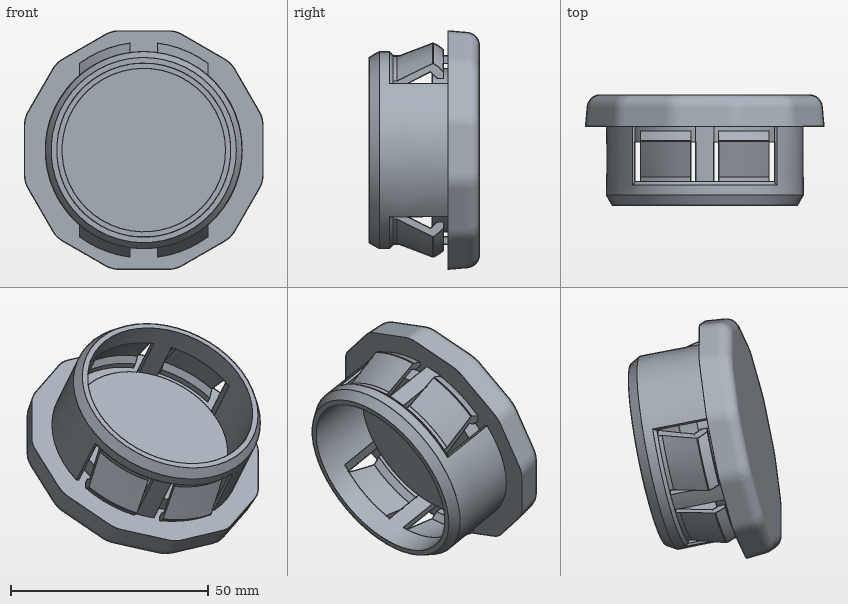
import cadquery as cq
import math


flange_width = 60.5
flange_thickness = 8.0
flange_sides = 12
flange_corner_radius = 7.0
flange_draft = 5.0
flange_edge_radius = 3.4

barrel_length = 20.0
barrel_diameter = 50.0
barrel_root_diameter = 49.85
mouth_diameter = 46.95
mouth_chamfer_length = 2.6
bore_diameter = 44.1

disc_diameter = 41.45
disc_height = 4.0

window_half_width = 17.7
window_length = 14.0
window_chamfer = 0.9

recessed_radius = 23.95
rib_width = 4.65
arm_near_side = 3.5
arm_far_side = 16.35
arm_root_length = 1.1
crest_radius = 27.35
crest_start = 3.65
crest_end = 3.9
tip_gap = 1.15
tip_outer_radius = 25.7
tip_inner_radius = 24.45
tip_thickness = 1.6
tip_facets = 4
tip_crown = 0.09
elbow_position = 4.5
elbow_radius = 25.65

bore_radius = bore_diameter / 2


def revolve_profile(points):
    """Turn a closed (radius, y) outline about the Y axis."""
    return cq.Workplane("XY").polyline(points).close().revolve(360, (0, 0, 0), (0, 1, 0))


def slab(x_min, x_max, length):
    """Block between two X planes, running from Y = 0 to -length and past the part in Z."""
    return cq.Workplane("XY").box(
        x_max - x_min, length, flange_width, centered=(False, False, True)
    ).translate((x_min, -length, 0))


def make_flange():
    corner_diameter = flange_width / math.cos(math.pi / flange_sides)
    half_step = 180 / flange_sides
    blank = (
        cq.Workplane("XZ")
        .transformed(rotate=(0, 0, half_step))
        .polygon(flange_sides, corner_diameter)
        .extrude(-flange_thickness, taper=flange_draft)
    )
    rounded = blank.edges("not #Y").fillet(flange_corner_radius)
    return rounded.faces(">Y").edges().fillet(flange_edge_radius)


def make_barrel():
    tube = revolve_profile([
        (bore_radius, 0),
        (barrel_root_diameter / 2, 0),
        (barrel_diameter / 2, mouth_chamfer_length - barrel_length),
        (mouth_diameter / 2, -barrel_length),
        (bore_radius, -barrel_length),
    ])
    tube = tube.cut(slab(-window_half_width, window_half_width, window_length))
    around_windows = cq.selectors.BoxSelector(
        (-bore_radius, -window_length - window_chamfer, -flange_width),
        (bore_radius, -window_chamfer, flange_width),
    )
    return tube.faces("%CONE").edges(around_windows).chamfer(window_chamfer)


def make_ribs():
    ring = revolve_profile([
        (bore_radius, 0),
        (recessed_radius, 0),
        (recessed_radius, -window_length),
        (bore_radius, -window_length),
    ])
    return ring.intersect(slab(-rib_width / 2, rib_width / 2, window_length))


def tip_outline():
    """Points along the slightly crowned, faceted slope from the arm tip up to the crest."""
    points = []
    for step in range(tip_facets + 1):
        along = step / tip_facets
        bulge = 4 * tip_crown * along * (1 - along)
        radius = tip_outer_radius + along * (crest_radius - tip_outer_radius) + bulge
        points.append((radius, -tip_gap - along * (crest_start - tip_gap)))
    return points


def make_arms():
    bend = arm_root_length - window_length
    ring = revolve_profile([
        (bore_radius, -window_length),
        (elbow_radius, -elbow_position),
        (tip_inner_radius, -tip_gap - tip_thickness),
        (tip_inner_radius, -tip_gap),
        *tip_outline(),
        (crest_radius, -crest_end),
        (recessed_radius, bend),
        (recessed_radius, -window_length),
    ])
    right_side = slab(arm_near_side, arm_far_side, window_length)
    left_side = slab(-arm_far_side, -arm_near_side, window_length)
    return ring.intersect(right_side.union(left_side))


def make_disc():
    return cq.Workplane("XZ").circle(disc_diameter / 2).extrude(disc_height)


result = make_flange().union(make_disc()).union(make_barrel()).union(make_ribs()).union(make_arms())